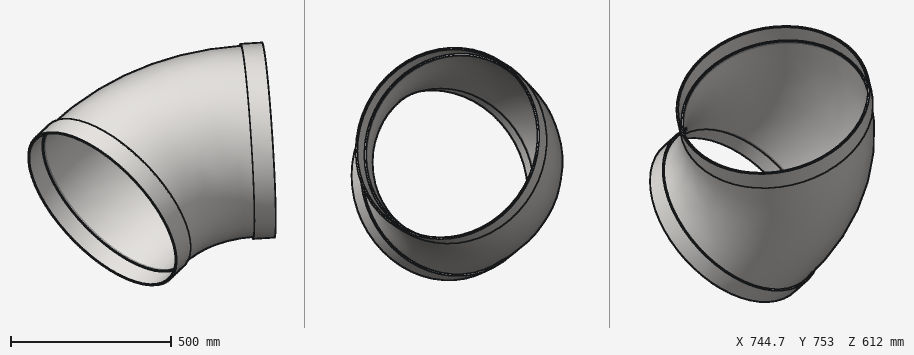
import cadquery as cq
import math

overall_length = 753.0
bend_angle = 45.0
collar_outer_diameter = 612.0
wall = 6.0
collar_length = 67.0
pipe_overlap = 6.0

collar_outer_radius = collar_outer_diameter / 2
pipe_outer_radius = collar_outer_radius - wall
pipe_inner_radius = pipe_outer_radius - wall

bend_sine = math.sin(math.radians(bend_angle))
bend_cosine = math.cos(math.radians(bend_angle))
collars_along_y = collar_length * (1 + bend_cosine)
rim_along_y = collar_outer_radius * bend_sine
bend_radius = (overall_length - collars_along_y - rim_along_y) / bend_sine


def tube(outer_radius, inner_radius, length):
    """Straight tube along +Y, starting at the XZ plane."""
    return (
        cq.Workplane("XZ")
        .circle(outer_radius)
        .circle(inner_radius)
        .extrude(-length)
    )


def bent_pipe():
    """Curved pipe starting at the XZ plane, with its bend axis along Z."""
    return (
        cq.Workplane("XZ")
        .circle(pipe_outer_radius)
        .circle(pipe_inner_radius)
        .revolve(bend_angle, (bend_radius, 0, 0), (bend_radius, -1, 0))
    )


def inlet_end():
    """Collar in front of the bend, with the pipe end inserted in it."""
    collar = tube(collar_outer_radius, pipe_outer_radius, collar_length)
    pipe_end = tube(pipe_outer_radius, pipe_inner_radius, pipe_overlap)
    return (
        collar.translate((0, -collar_length, 0))
        .union(pipe_end.translate((0, -pipe_overlap, 0)))
    )


def outlet_end():
    """Mirrored inlet end, turned about the bend axis to the far side."""
    return (
        inlet_end()
        .mirror("XZ")
        .rotate((bend_radius, 0, 0), (bend_radius, 0, 1), -bend_angle)
    )


result = bent_pipe().union(inlet_end()).union(outlet_end())